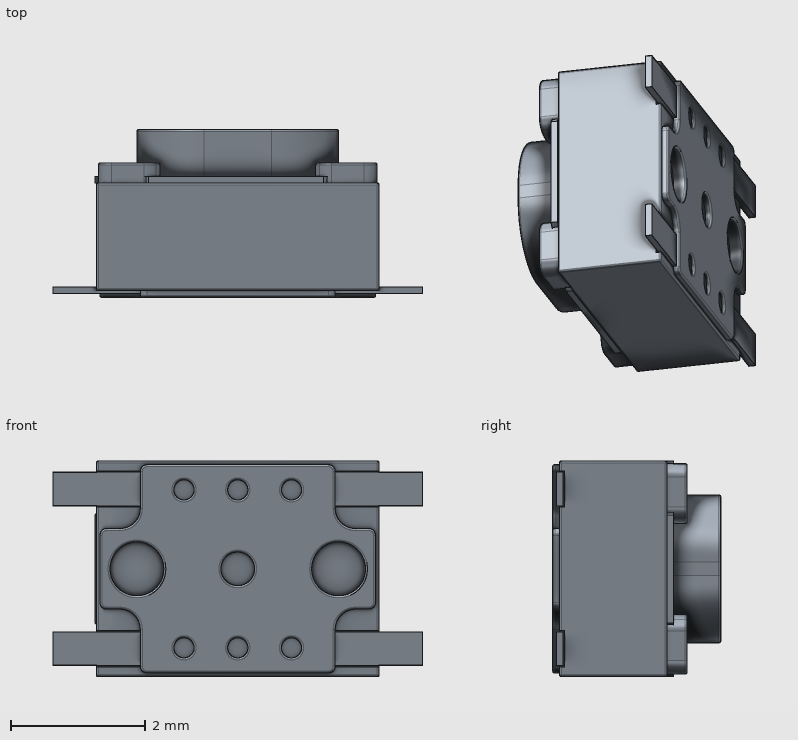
import cadquery as cq


EDGE_ROUND = 0.03

PLATE_THICKNESS = 0.1
PLATE_LENGTH = 2.9
PLATE_HEIGHT = 3.1
EAR_SPAN = 4.1
EAR_HEIGHT = 1.2
PLATE_CORNER_RADIUS = 0.1
EAR_ROOT_RADIUS = 0.3

LARGE_RECESS_DIAMETER = 0.8
LARGE_RECESS_DEPTH = 0.2
LARGE_RECESS_X = 1.5
CENTRE_RECESS_DIAMETER = 0.5
CENTRE_RECESS_DEPTH = 0.1
SMALL_RECESS_DIAMETER = 0.3
SMALL_RECESS_DEPTH = 0.05
SMALL_RECESS_PITCH = 0.8
SMALL_RECESS_Z = 1.175

BLOCK_LENGTH = 4.21
BLOCK_HEIGHT = 3.21
BLOCK_DEPTH = 1.6
BLOCK_BACK_Y = PLATE_THICKNESS + BLOCK_DEPTH

COVER_LENGTH = 4.2
COVER_HEIGHT = 3.21
COVER_THICKNESS = 0.1
COVER_CORNER_CUT = 0.8
COVER_OFFSET_X = -0.025
COVER_BACK_Y = BLOCK_BACK_Y + COVER_THICKNESS

POST_SPAN_X = 4.15
POST_SPAN_Z = 3.13
POST_BACK_Y = 2.0
POST_ROUND_X = 1.7
POST_ROUND_Z = 1.215
POST_ROUND_RADIUS = 0.54
POST_CORNER_RADIUS = 0.2

BUTTON_LENGTH = 3.0
BUTTON_HEIGHT = 2.2
BUTTON_CORNER_RADIUS = 1.0
BUTTON_BACK_Y = 2.5

LEAD_SPAN = 5.5
LEAD_WIDTH = 0.5
LEAD_THICKNESS = 0.1
LEAD_Y = 0.055
LEAD_Z = 1.1875
LEAD_CLEARANCE = 0.02
LEAD_INNER_X = PLATE_LENGTH / 2

SIDES = (-1, 1)
CORNERS = [(side_x, side_z) for side_x in SIDES for side_z in SIDES]


def box_between(length, height, start_y, end_y, center_x=0, center_z=0):
    """Box with the given X length and Z height, running from start_y to end_y."""
    depth = end_y - start_y
    middle_y = (start_y + end_y) / 2
    return cq.Workplane("XY").box(length, depth, height).translate((center_x, middle_y, center_z))


def disk_between(diameter, start_y, end_y, center_x, center_z):
    """Cylinder along Y, running from start_y to end_y."""
    face = cq.Workplane("XZ", origin=(center_x, start_y, center_z))
    return face.circle(diameter / 2).extrude(start_y - end_y)


def make_block():
    block = box_between(BLOCK_LENGTH, BLOCK_HEIGHT, PLATE_THICKNESS, BLOCK_BACK_Y)
    return block.edges().fillet(EDGE_ROUND)


def make_plate():
    """Cross-shaped pad; it reaches into the block so that the two join fully."""
    back_y = 2 * PLATE_THICKNESS
    middle = box_between(PLATE_LENGTH, PLATE_HEIGHT, 0, back_y).edges("|Y").fillet(PLATE_CORNER_RADIUS)
    ears = box_between(EAR_SPAN, EAR_HEIGHT, 0, back_y).edges("|Y").fillet(PLATE_CORNER_RADIUS)
    plate = middle.union(ears)
    for side_x, side_z in CORNERS:
        root = (side_x * PLATE_LENGTH / 2, back_y / 2, side_z * EAR_HEIGHT / 2)
        plate = plate.edges(cq.selectors.NearestToPointSelector(root)).fillet(EAR_ROOT_RADIUS)
    return plate.faces("<Y").edges().fillet(EDGE_ROUND)


def make_recess(diameter, depth, center_x, center_z):
    """Blind round recess with a rounded mouth, as a cutting tool."""
    bore = disk_between(diameter, 0, depth, center_x, center_z)
    mouth = disk_between(diameter + 2 * EDGE_ROUND, 0, EDGE_ROUND, center_x, center_z)
    lip_radius = diameter / 2 + EDGE_ROUND
    lip_center = cq.Vector(center_x, EDGE_ROUND, center_z)
    lip = cq.Workplane(cq.Solid.makeTorus(lip_radius, EDGE_ROUND, lip_center, cq.Vector(0, 1, 0)))
    return bore.union(mouth.cut(lip))


def make_recesses():
    recesses = make_recess(CENTRE_RECESS_DIAMETER, CENTRE_RECESS_DEPTH, 0, 0)
    for side in SIDES:
        large = make_recess(LARGE_RECESS_DIAMETER, LARGE_RECESS_DEPTH, side * LARGE_RECESS_X, 0)
        recesses = recesses.union(large)
        for column in (-1, 0, 1):
            small = make_recess(
                SMALL_RECESS_DIAMETER,
                SMALL_RECESS_DEPTH,
                column * SMALL_RECESS_PITCH,
                side * SMALL_RECESS_Z,
            )
            recesses = recesses.union(small)
    return recesses


def make_post(side_x, side_z):
    """Corner post: a disk trimmed by the outer post lines, with rounded corners."""
    center_x = side_x * POST_ROUND_X
    center_z = side_z * POST_ROUND_Z
    disk = disk_between(2 * POST_ROUND_RADIUS, BLOCK_BACK_Y, POST_BACK_Y, center_x, center_z)
    limits = box_between(POST_SPAN_X, POST_SPAN_Z, BLOCK_BACK_Y, POST_BACK_Y)
    post = disk.intersect(limits).edges("|Y").fillet(POST_CORNER_RADIUS)
    return post.faces(">Y").edges().fillet(EDGE_ROUND)


def make_cover():
    cover = box_between(COVER_LENGTH, COVER_HEIGHT, BLOCK_BACK_Y, COVER_BACK_Y, COVER_OFFSET_X)
    return cover.edges("|Y").chamfer(COVER_CORNER_CUT)


def make_lead(side_x, side_z, clearance=0.0):
    """Flat lead butting against the plate; a clearance makes it the tool for its slot."""
    length = LEAD_SPAN / 2 - LEAD_INNER_X
    center_x = side_x * (LEAD_INNER_X + length / 2)
    return box_between(
        length,
        LEAD_WIDTH + 2 * clearance,
        LEAD_Y - clearance,
        LEAD_Y + LEAD_THICKNESS + clearance,
        center_x,
        side_z * LEAD_Z,
    )


def make_button():
    button = box_between(BUTTON_LENGTH, BUTTON_HEIGHT, COVER_BACK_Y, BUTTON_BACK_Y)
    button = button.edges("|Y").fillet(BUTTON_CORNER_RADIUS)
    return button.faces(">Y").edges().fillet(EDGE_ROUND)


def make_housing(cover):
    """One moulding: block, base plate with recesses, corner posts and lead slots."""
    housing = make_block().union(make_plate()).cut(make_recesses())
    for side_x, side_z in CORNERS:
        housing = housing.union(make_post(side_x, side_z))
        housing = housing.cut(make_lead(side_x, side_z, LEAD_CLEARANCE))
    return housing.cut(cover)


cover = make_cover()
housing = make_housing(cover)
button = make_button()
leads = [make_lead(side_x, side_z).val() for side_x, side_z in CORNERS]

result = cq.Compound.makeCompound([housing.val(), cover.val(), button.val(), *leads])